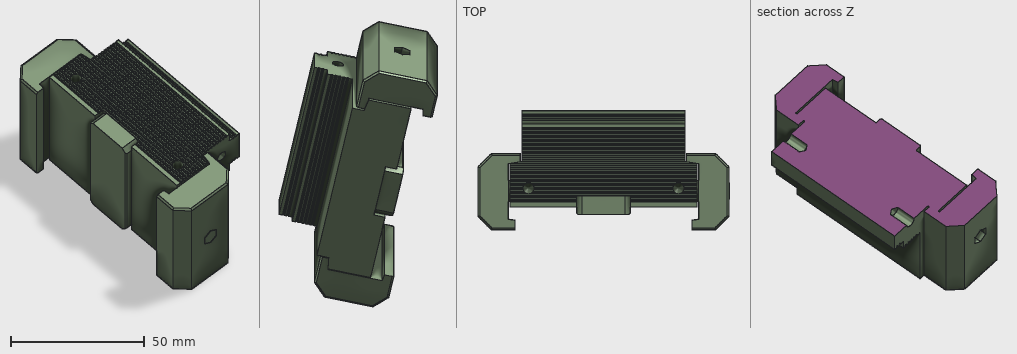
import cadquery as cq
import math


body_height = 50.0
body_front = 36.0
back_face = 14.5
rear_half_width = 30.5
front_half_width = 35.0

tongue_step = 5.0
tongue_bottom = 28.0
tip_height = 14.0
tongue_center_z = (body_height + tongue_bottom) / 2
tip_top = tongue_center_z + tip_height / 2
tip_bottom = tongue_center_z - tip_height / 2

groove_pitch = 1.5
groove_top_width = 0.9
groove_floor_width = 0.4
groove_depth = 0.5
first_groove = 1.7
tip_groove_count = 2
top_groove_count = 19
underside_groove_count = 5

jaw_half_span = 46.9
jaw_gap = 0.5
jaw_inner = front_half_width + jaw_gap
jaw_back = 16.0
jaw_front = 44.5
jaw_height = 49.0
jaw_corner = 5.0
jaw_edge_chamfer = 0.7
back_lip_reach = rear_half_width + jaw_gap
front_lip_reach = 33.0
recess_back = 19.8
recess_front = 40.5
lip_angle = 9.0
lip_slope = math.tan(math.radians(lip_angle))

screw_diameter = 8.0
screw_forward = 30.0
screw_z = body_height / 2
hex_across_flats = 6.0
hex_across_corners = hex_across_flats / math.cos(math.pi / 6)
socket_depth = 5.0
screw_end_length = 0.2

key_width = 20.0
key_back = 31.8
key_front = 38.8
key_height = 49.0
key_bottom = 0.75
key_corner = 2.0
key_edge_chamfer = 0.5

hole_diameter = 4.13
hole_depth = 8.0
drill_point_angle = 118.0
top_hole_x = 28.0
top_hole_forward = 29.0
end_hole_forward = 9.0
end_hole_z = 40.0


def prism_along_z(points, bottom, height):
    """Extrude an outline of (x, forward) points upwards."""
    outline = [(x, -forward) for x, forward in points]
    return cq.Workplane("XY").workplane(offset=bottom).polyline(outline).close().extrude(height)


def block(half_width, back, front, bottom, top):
    """Box centred on X between two forward distances and two heights."""
    corners = [(-half_width, back), (half_width, back), (half_width, front), (-half_width, front)]
    return prism_along_z(corners, bottom, top - bottom)


def make_body():
    """Block with sloping side shoulders and a two-tier tongue at the rear."""
    def shoulder(x):
        """Forward distance of the sloping shoulder under the jaw lips."""
        return recess_back - (jaw_inner - x) * lip_slope

    right_side = [
        (rear_half_width, back_face),
        (rear_half_width, shoulder(rear_half_width)),
        (front_half_width, shoulder(front_half_width)),
        (front_half_width, body_front),
    ]
    left_side = [(-x, forward) for x, forward in reversed(right_side)]
    body = prism_along_z(right_side + left_side, 0, body_height)
    body = body.union(block(rear_half_width, tongue_step, back_face, tongue_bottom, body_height))
    return body.union(block(rear_half_width, 0, tongue_step, tip_bottom, tip_top))


def make_grooves(first, count, surface_z, inward):
    """Trapezoidal grooves cut into a surface; inward is the sign of Z into the material."""
    grooves = cq.Workplane("YZ").workplane(offset=-front_half_width)
    floor_z = surface_z + inward * groove_depth
    for index in range(count):
        center = -(first + index * groove_pitch)
        grooves = grooves.polyline([
            (center - groove_top_width / 2, surface_z),
            (center + groove_top_width / 2, surface_z),
            (center + groove_floor_width / 2, floor_z),
            (center - groove_floor_width / 2, floor_z),
        ]).close()
    return grooves.extrude(2 * front_half_width)


def cut_grooves(body):
    tier_first = tongue_step + first_groove
    body = body.cut(make_grooves(first_groove, tip_groove_count, tip_top, -1))
    body = body.cut(make_grooves(first_groove, tip_groove_count, tip_bottom, 1))
    body = body.cut(make_grooves(tier_first, top_groove_count, body_height, -1))
    return body.cut(make_grooves(tier_first, underside_groove_count, tongue_bottom, 1))


def make_hole(position, direction):
    """Blind drilled hole starting at a surface point."""
    radius = hole_diameter / 2
    point_length = radius / math.tan(math.radians(drill_point_angle / 2))
    start = cq.Vector(*position)
    axis = cq.Vector(*direction)
    bore = cq.Solid.makeCylinder(radius, hole_depth, start, axis)
    point = cq.Solid.makeCone(radius, 0, point_length, start + axis * hole_depth, axis)
    return cq.Workplane(bore.fuse(point))


def cut_holes(body):
    for side in (-1, 1):
        top_position = (side * top_hole_x, -top_hole_forward, body_height)
        end_position = (side * rear_half_width, -end_hole_forward, end_hole_z)
        body = body.cut(make_hole(top_position, (0, 0, -1)))
        body = body.cut(make_hole(end_position, (-side, 0, 0)))
    return body


def make_jaw():
    """Jaw on the +X side, chamfered on its outer end edges but not inside the recess."""
    back_lip_rise = (jaw_inner - back_lip_reach) * lip_slope
    front_lip_drop = (jaw_inner - front_lip_reach) * lip_slope
    outline = [
        (back_lip_reach, jaw_back),
        (jaw_half_span - jaw_corner, jaw_back),
        (jaw_half_span, jaw_back + jaw_corner),
        (jaw_half_span, jaw_front - jaw_corner),
        (jaw_half_span - jaw_corner, jaw_front),
        (front_lip_reach, jaw_front),
        (front_lip_reach, recess_front + front_lip_drop),
        (jaw_inner, recess_front),
        (jaw_inner, recess_back),
        (back_lip_reach, recess_back - back_lip_rise),
    ]
    jaw = prism_along_z(outline, (body_height - jaw_height) / 2, jaw_height)
    end_edges = jaw.faces("<Z or >Z").edges()
    outer_edges = end_edges.filter(lambda edge: edge.Center().x > jaw_inner + jaw_gap / 2)
    return outer_edges.chamfer(jaw_edge_chamfer)


def make_hexagon(start_x, length):
    """Hexagonal prism on the screw axis with corners pointing up and down."""
    plane = cq.Workplane("YZ", origin=(start_x, -screw_forward, screw_z))
    return plane.transformed(rotate=(0, 0, 90)).polygon(6, hex_across_corners).extrude(length)


def make_screw():
    """Round shank bridging the jaw gaps, with a short hexagonal end beyond the +X jaw."""
    screw_plane = cq.Workplane("YZ", origin=(0, -screw_forward, screw_z))
    shank = screw_plane.workplane(offset=-jaw_inner).circle(screw_diameter / 2).extrude(2 * jaw_inner)
    end = make_hexagon(jaw_inner, jaw_half_span - jaw_inner + screw_end_length)
    return shank.union(end)


def make_key():
    """Raised bar with cut corners, seated in the front slot."""
    key = block(key_width / 2, key_back, key_front, key_bottom, key_bottom + key_height)
    key = key.edges("|Y").chamfer(key_corner)
    return key.faces("<Y").edges("|Z").chamfer(key_edge_chamfer)


body = cut_holes(cut_grooves(make_body()))
body = body.cut(block(key_width / 2, key_back, body_front, 0, body_height))
right_jaw = make_jaw()
left_jaw = right_jaw.mirror("YZ")
result = body.union(make_key()).union(right_jaw).union(left_jaw).union(make_screw())
result = result.cut(make_hexagon(-jaw_half_span, socket_depth))